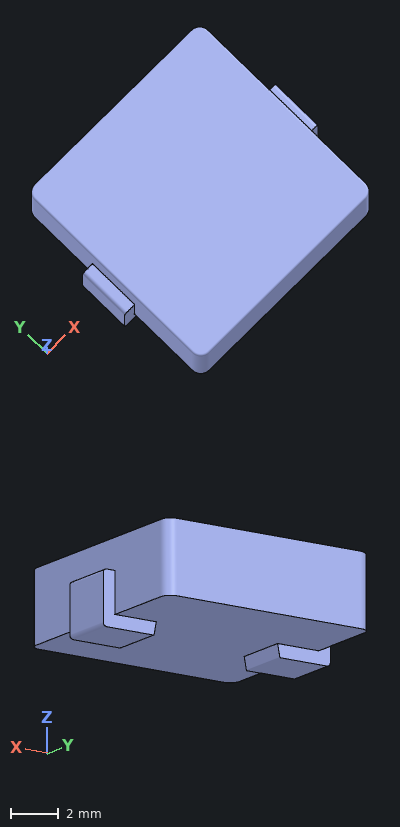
import cadquery as cq

overall_length = 11.5
overall_height = 4.0

body_side = 10.3
body_corner_radius = 0.5
body_top_radius = 0.1

terminal_thickness = (overall_length - body_side) / 2
terminal_width = 2.5
terminal_height = 2.51
terminal_edge_radius = 0.17
foot_length_top = 2.68
foot_length_bottom = 2.56
foot_tip_radius = 0.03

body_bottom = terminal_thickness
body_height = overall_height - body_bottom


def make_body():
    """Square block with rounded corners and a softened top edge."""
    return (
        cq.Workplane("XY")
        .workplane(offset=body_bottom)
        .rect(body_side, body_side)
        .extrude(body_height)
        .edges("|Z")
        .fillet(body_corner_radius)
        .faces(">Z")
        .edges()
        .fillet(body_top_radius)
    )


def make_left_terminal():
    """L-shaped terminal with rounded outer edges and a slanted foot end."""
    outer_x = -overall_length / 2
    inner_x = -body_side / 2
    foot_tip_x = outer_x + foot_length_bottom
    terminal = (
        cq.Workplane("XZ")
        .moveTo(outer_x, 0)
        .lineTo(foot_tip_x, 0)
        .lineTo(outer_x + foot_length_top, body_bottom)
        .lineTo(inner_x, body_bottom)
        .lineTo(inner_x, terminal_height)
        .lineTo(outer_x, terminal_height)
        .close()
        .extrude(terminal_width / 2, both=True)
    )
    terminal = terminal.faces("<X").edges("|Y").fillet(terminal_edge_radius)
    return terminal.faces("<Z").edges(">X").fillet(foot_tip_radius)


body = make_body()
half_turns = (0, 180)
terminals = [make_left_terminal().rotate((0, 0, 0), (0, 0, 1), angle) for angle in half_turns]

result = cq.Compound.makeCompound(
    [body.solids().val(), *[terminal.solids().val() for terminal in terminals]]
)